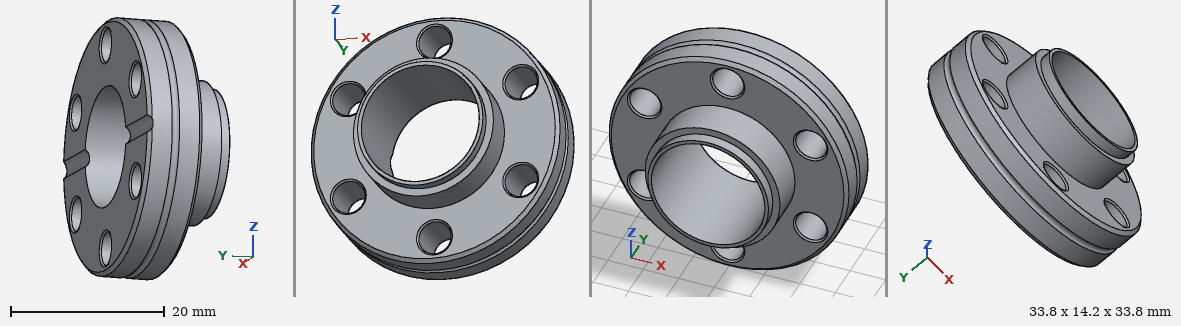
import cadquery as cq

flange_diameter = 33.8
flange_thickness = 7.57
edge_chamfer = 0.5

hub_diameter = 19.0
hub_length = 5.15
collar_diameter = 17.0
collar_length = 1.5
bore_diameter = 16.0

bolt_count = 6
bolt_circle_diameter = 27.0
bolt_hole_diameter = 4.4
bolt_hole_chamfer = 0.25

rim_groove_width = 1.0
rim_groove_depth = 0.3
leak_groove_width = 2.3
leak_groove_depth = 0.65

hub_end = -hub_length
collar_end = hub_end - collar_length
overall_length = flange_thickness + hub_length + collar_length


def cylinder(diameter, start_y, length):
    """Solid cylinder about the Y axis running from start_y toward +Y."""
    return cq.Workplane("XZ", origin=(0, start_y, 0)).circle(diameter / 2).extrude(-length)


def make_body():
    """Chamfered flange disc with the stepped hub on its -Y side."""
    flange = cylinder(flange_diameter, 0, flange_thickness).edges().chamfer(edge_chamfer)
    hub = cylinder(hub_diameter, hub_end, hub_length)
    collar = cylinder(collar_diameter, collar_end, collar_length)
    return flange.union(hub).union(collar)


def make_bolt_holes():
    """Through holes on the bolt circle, chamfered at both faces."""
    hole_radius = bolt_hole_diameter / 2
    mouth_radius = hole_radius + bolt_hole_chamfer
    profile = [
        (0, 0),
        (mouth_radius, 0),
        (hole_radius, bolt_hole_chamfer),
        (hole_radius, flange_thickness - bolt_hole_chamfer),
        (mouth_radius, flange_thickness),
        (0, flange_thickness),
    ]
    hole = cq.Workplane("XY").polyline(profile).close().revolve(360, (0, 0), (0, 1))
    hole = hole.translate((0, 0, bolt_circle_diameter / 2))
    holes = cq.Workplane("XY")
    for index in range(bolt_count):
        holes = holes.add(hole.rotate((0, 0, 0), (0, 1, 0), index * 360 / bolt_count))
    return holes.combine()


def make_rim_groove():
    """Round-bottomed ring groove halfway along the rim."""
    rim_radius = flange_diameter / 2
    middle_y = flange_thickness / 2
    return (
        cq.Workplane("XY")
        .moveTo(rim_radius, middle_y - rim_groove_width / 2)
        .threePointArc(
            (rim_radius - rim_groove_depth, middle_y),
            (rim_radius, middle_y + rim_groove_width / 2),
        )
        .close()
        .revolve(360, (0, 0), (0, 1))
    )


def make_leak_groove():
    """Round-bottomed channel straight across the +Y face, parallel to X."""
    half_width = leak_groove_width / 2
    return (
        cq.Workplane("YZ")
        .moveTo(flange_thickness, -half_width)
        .threePointArc((flange_thickness - leak_groove_depth, 0), (flange_thickness, half_width))
        .close()
        .extrude(flange_diameter / 2, both=True)
    )


result = (
    make_body()
    .cut(cylinder(bore_diameter, collar_end, overall_length))
    .cut(make_bolt_holes())
    .cut(make_rim_groove())
    .cut(make_leak_groove())
)